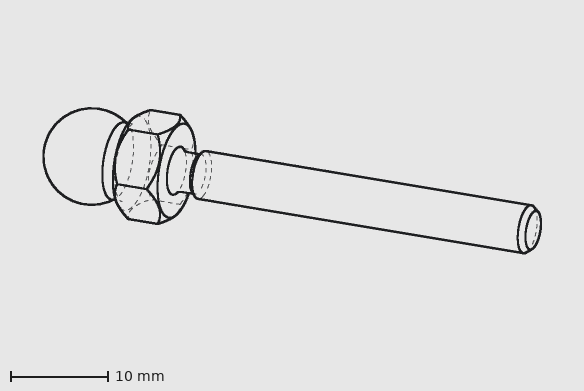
import cadquery as cq
import math

total_length = 54.5
ball_diameter = 10.0
ball_radius = ball_diameter / 2

collar_radius = 4.05
collar_fillet = 0.5
collar_start = ball_radius + math.sqrt(ball_radius**2 - collar_radius**2)

hex_start = 9.5
hex_width = 5.0
hex_across_flats = 10.0
hex_end = hex_start + hex_width
hex_corner_radius = hex_across_flats / 2 / math.cos(math.pi / 6)
hex_face_radius = 4.9
hex_chamfer = hex_corner_radius - hex_face_radius
blank_clearance = 0.05

shank_radius = 2.5
relief_radius = 2.05
relief_straight_start = 15.4
relief_straight_end = 16.9
lead_in = shank_radius - relief_radius
end_chamfer_length = 0.65
end_chamfer_depth = 0.5

relief_arc_run = relief_straight_start - hex_end
relief_arc_radius = (relief_arc_run**2 + lead_in**2) / (2 * lead_in)


def revolve_about_x(profile):
    return profile.close().revolve(360, (0, 0, 0), (1, 0, 0))


def make_round_body():
    """Ball, collar, relief neck and chamfered shank, revolved in one profile."""
    profile = (
        cq.Workplane("XY")
        .moveTo(0, 0)
        .threePointArc((ball_radius, ball_radius), (collar_start, collar_radius))
        .lineTo(hex_start - collar_fillet, collar_radius)
        .radiusArc((hex_start, collar_radius + collar_fillet), -collar_fillet)
        .lineTo(hex_start, shank_radius)
        .lineTo(hex_end, shank_radius)
        .radiusArc((relief_straight_start, relief_radius), -relief_arc_radius)
        .lineTo(relief_straight_end, relief_radius)
        .lineTo(relief_straight_end + lead_in, shank_radius)
        .lineTo(total_length - end_chamfer_length, shank_radius)
        .lineTo(total_length, shank_radius - end_chamfer_depth)
        .lineTo(total_length, 0)
    )
    return revolve_about_x(profile)


def make_hexagon():
    """Hexagonal prism whose corners are turned to 45 degree cones at both ends."""
    prism = (
        cq.Workplane("YZ", origin=(hex_start, 0, 0))
        .polygon(6, 2 * hex_corner_radius)
        .extrude(hex_width)
    )
    blank_radius = hex_corner_radius + blank_clearance
    blank_chamfer = hex_chamfer + blank_clearance
    turned_blank = revolve_about_x(
        cq.Workplane("XY")
        .moveTo(hex_start, 0)
        .lineTo(hex_start, hex_face_radius)
        .lineTo(hex_start + blank_chamfer, blank_radius)
        .lineTo(hex_end - blank_chamfer, blank_radius)
        .lineTo(hex_end, hex_face_radius)
        .lineTo(hex_end, 0)
    )
    return prism.intersect(turned_blank)


result = make_round_body().union(make_hexagon())